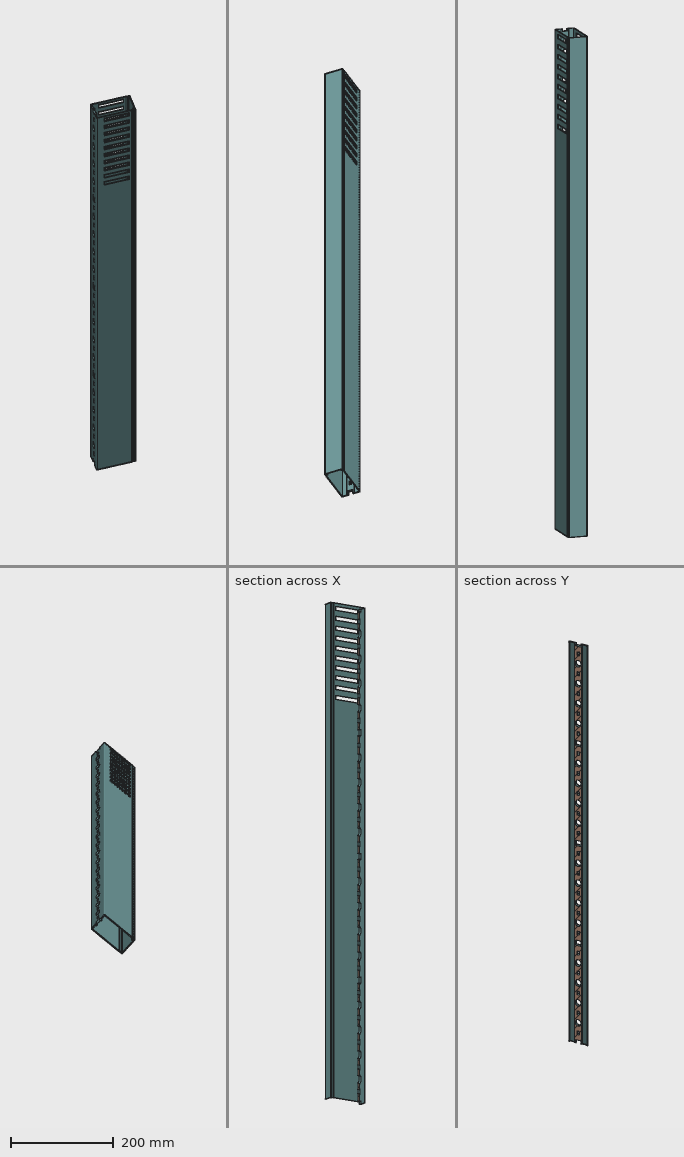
import cadquery as cq

WIDTH = 40.0
DEPTH = 80.0
LENGTH = 1000.0
Y_BACK = -DEPTH / 2
Y_FRONT = DEPTH / 2

SIDE_WALL = 2.0
BACK_WALL = 2.5
TRUNK_CORNER_RADIUS = 1.5

BAND_WIDTH = 16.0
BAND_HEIGHT = 2.0

LID_WALL = 2.0
LID_INSET = 0.5
LID_WIDTH = WIDTH - 2 * LID_INSET
LID_LIP = 8.0
CLIP_REACH = 3.0
CLIP_THICKNESS = 2.0
CLIP_Y_MIN = 35.0
Y_SEAM = Y_FRONT - LID_LIP

SLOT_COUNT = 10
SLOT_PITCH = 20.0
SLOT_HEIGHT = 8.0
SLOT_END_MARGIN = 6.5
SLOT_Y_MIN = -24.0
SLOT_Y_MAX = 27.0

HOLE_PITCH = 50.0
HOLE_START = 1.5
HOLE_WIDTH = 10.0
OVAL_LENGTH = 15.0
RECT_LENGTH = 12.0
RECT_EVERY = 5
NARROW_WIDTH = 4.0
NARROW_LENGTH = 8.0


def long_bar(width, y_min, y_max):
    """Full-length bar centred on X, between two Y positions."""
    return (
        cq.Workplane("XY")
        .center(0, (y_min + y_max) / 2)
        .rect(width, y_max - y_min)
        .extrude(LENGTH)
    )


def side_slots():
    """Rectangular cutters that pass through both side walls."""
    y_middle = (SLOT_Y_MIN + SLOT_Y_MAX) / 2
    z_first = LENGTH - SLOT_END_MARGIN - SLOT_HEIGHT / 2
    centres = [(y_middle, z_first - i * SLOT_PITCH) for i in range(SLOT_COUNT)]
    return (
        cq.Workplane("YZ")
        .pushPoints(centres)
        .rect(SLOT_Y_MAX - SLOT_Y_MIN, SLOT_HEIGHT)
        .extrude(WIDTH / 2, both=True)
    )


def cut_back_holes(trunk):
    """Cut the row of large holes, every fifth one rectangular, and the narrow holes midway between them."""
    thickness = BACK_WALL + BAND_HEIGHT
    inner_face_y = Y_BACK + thickness
    spans = round(LENGTH / HOLE_PITCH)
    rect_steps = [i for i in range(spans + 1) if i % RECT_EVERY == 0]
    oval_steps = [i for i in range(spans + 1) if i % RECT_EVERY != 0]
    narrow_steps = [i + 0.5 for i in range(spans)]

    def hole_centres(steps):
        centres = [(0, HOLE_START + step * HOLE_PITCH) for step in steps]
        return cq.Workplane("XZ", origin=(0, inner_face_y, 0)).pushPoints(centres)

    rects = hole_centres(rect_steps).rect(HOLE_WIDTH, RECT_LENGTH).extrude(thickness)
    ovals = hole_centres(oval_steps).slot2D(OVAL_LENGTH, HOLE_WIDTH, 90).extrude(thickness)
    narrows = hole_centres(narrow_steps).rect(NARROW_WIDTH, NARROW_LENGTH).extrude(thickness)
    return trunk.cut(rects).cut(ovals).cut(narrows)


def make_trunk():
    y_floor = Y_BACK + BACK_WALL
    outside = long_bar(WIDTH, Y_BACK, Y_SEAM).edges("|Z and <Y").fillet(TRUNK_CORNER_RADIUS)
    cavity = long_bar(WIDTH - 2 * SIDE_WALL, y_floor, Y_SEAM)
    band = long_bar(BAND_WIDTH, y_floor, y_floor + BAND_HEIGHT)
    trunk = outside.cut(cavity).union(band)
    return cut_back_holes(trunk.cut(side_slots()))


def make_lid():
    inner_width = LID_WIDTH - 2 * LID_WALL
    clip_y_max = CLIP_Y_MIN + CLIP_THICKNESS
    cavity = long_bar(inner_width, Y_SEAM, Y_FRONT - LID_WALL)
    clip_opening = long_bar(inner_width - 2 * CLIP_REACH, CLIP_Y_MIN, clip_y_max)
    clips = long_bar(inner_width, CLIP_Y_MIN, clip_y_max).cut(clip_opening)
    return long_bar(LID_WIDTH, Y_SEAM, Y_FRONT).cut(cavity.cut(clips))


trunk = make_trunk()
lid = make_lid()
result = cq.Compound.makeCompound([trunk.solids().val(), lid.solids().val()])